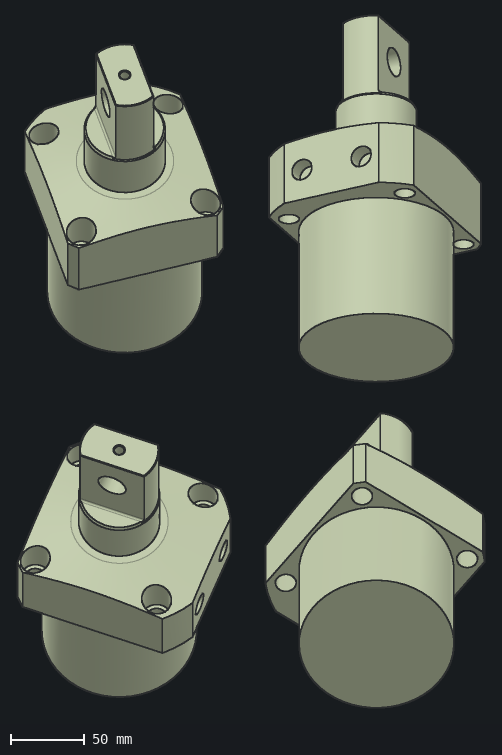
import cadquery as cq
import math

OVERALL_HEIGHT = 238.0

BARREL_DIAMETER = 105.0
BARREL_LENGTH = 87.5

FLANGE_HEIGHT = 56.5
FLANGE_LEFT = 67.0
FLANGE_RIGHT = 55.0
FLANGE_HALF_DEPTH = 55.0
CORNER_RADIUS = 76.0
CORNER_CHAMFER = 6.0

CROWN_DIAMETER = 66.0
CROWN_SLOPE = 15.0

BOLT_OFFSET = 44.0
BOLT_HOLE_DIAMETER = 14.0
BOLT_HEAD_DIAMETER = 20.0
BOLT_SEAT_HEIGHT = 25.0

PORT_DIAMETER = 15.0
PORT_OFFSET = 22.5
PORT_HEIGHT = 22.5
PORT_DEPTH = 12.0

ROD_DIAMETER = 55.0
ROD_CHAMFER_HEIGHT = 2.0
ROD_CHAMFER_ANGLE = 30.0
TONGUE_DIAMETER = 53.7
TONGUE_THICKNESS = 27.0
TONGUE_LENGTH = 58.0
TONGUE_TOP_CHAMFER = 0.5
TONGUE_ROOT_FILLET = 1.5
PIN_HOLE_DIAMETER = 20.0
PIN_HOLE_FROM_TIP = 25.5
TAPPED_HOLE_DIAMETER = 6.7
TAPPED_HOLE_MOUTH_DIAMETER = 8.0

ROD_TIP = OVERALL_HEIGHT - BARREL_LENGTH
SHOULDER = ROD_TIP - TONGUE_LENGTH


def flange_outline():
    """Flange block: rectangle with two round and two flat corners."""
    round_x = -math.sqrt(CORNER_RADIUS**2 - FLANGE_HALF_DEPTH**2)
    round_y = math.sqrt(CORNER_RADIUS**2 - FLANGE_LEFT**2)
    middle_angle = (math.atan2(FLANGE_HALF_DEPTH, round_x) + math.atan2(round_y, -FLANGE_LEFT)) / 2
    middle_x = CORNER_RADIUS * math.cos(middle_angle)
    middle_y = CORNER_RADIUS * math.sin(middle_angle)
    flat_x = FLANGE_RIGHT - CORNER_CHAMFER
    flat_y = FLANGE_HALF_DEPTH - CORNER_CHAMFER
    return (
        cq.Workplane("XY")
        .moveTo(round_x, -FLANGE_HALF_DEPTH)
        .lineTo(flat_x, -FLANGE_HALF_DEPTH)
        .lineTo(FLANGE_RIGHT, -flat_y)
        .lineTo(FLANGE_RIGHT, flat_y)
        .lineTo(flat_x, FLANGE_HALF_DEPTH)
        .lineTo(round_x, FLANGE_HALF_DEPTH)
        .threePointArc((middle_x, middle_y), (-FLANGE_LEFT, round_y))
        .lineTo(-FLANGE_LEFT, -round_y)
        .threePointArc((middle_x, -middle_y), (round_x, -FLANGE_HALF_DEPTH))
        .close()
    )


def crown():
    """Round envelope whose conical top shapes the top of the flange."""
    crown_radius = CROWN_DIAMETER / 2
    envelope_radius = CORNER_RADIUS + CORNER_CHAMFER
    drop = (envelope_radius - crown_radius) * math.tan(math.radians(CROWN_SLOPE))
    return (
        cq.Workplane("XZ")
        .lineTo(envelope_radius, 0)
        .lineTo(envelope_radius, FLANGE_HEIGHT - drop)
        .lineTo(crown_radius, FLANGE_HEIGHT)
        .lineTo(0, FLANGE_HEIGHT)
        .close()
        .revolve(360, (0, 0), (0, 1))
    )


def bolt_holes():
    """Four through holes, each with a counterbore from above."""
    centres = [(x, y) for x in (-BOLT_OFFSET, BOLT_OFFSET) for y in (-BOLT_OFFSET, BOLT_OFFSET)]
    shanks = (
        cq.Workplane("XY")
        .pushPoints(centres)
        .circle(BOLT_HOLE_DIAMETER / 2)
        .extrude(FLANGE_HEIGHT)
    )
    heads = (
        cq.Workplane("XY", origin=(0, 0, BOLT_SEAT_HEIGHT))
        .pushPoints(centres)
        .circle(BOLT_HEAD_DIAMETER / 2)
        .extrude(FLANGE_HEIGHT - BOLT_SEAT_HEIGHT)
    )
    return shanks.union(heads)


def oil_ports():
    """Two blind ports entering from the -X side."""
    return (
        cq.Workplane("YZ", origin=(-FLANGE_LEFT, 0, 0))
        .pushPoints([(-PORT_OFFSET, PORT_HEIGHT), (PORT_OFFSET, PORT_HEIGHT)])
        .circle(PORT_DIAMETER / 2)
        .extrude(PORT_DEPTH)
    )


def make_housing():
    flange = flange_outline().extrude(FLANGE_HEIGHT).intersect(crown())
    barrel = cq.Workplane("XY").circle(BARREL_DIAMETER / 2).extrude(-BARREL_LENGTH)
    return flange.union(barrel).cut(bolt_holes()).cut(oil_ports())


def tongue_blank():
    """Round tongue, chamfered at the tip, still without its flats."""
    return (
        cq.Workplane("XY", origin=(0, 0, FLANGE_HEIGHT))
        .circle(TONGUE_DIAMETER / 2)
        .extrude(ROD_TIP - FLANGE_HEIGHT)
        .faces(">Z")
        .chamfer(TONGUE_TOP_CHAMFER)
    )


def tongue_section():
    """Slab between the two flats: chamfered at the tip, with concave fillets at the root."""
    half = TONGUE_THICKNESS / 2
    tip_half = half - TONGUE_TOP_CHAMFER
    root_half = half + TONGUE_ROOT_FILLET
    fillet_top = SHOULDER + TONGUE_ROOT_FILLET
    chamfer_bottom = ROD_TIP - TONGUE_TOP_CHAMFER
    return (
        cq.Workplane("YZ")
        .moveTo(-root_half, FLANGE_HEIGHT)
        .lineTo(root_half, FLANGE_HEIGHT)
        .lineTo(root_half, SHOULDER)
        .radiusArc((half, fillet_top), TONGUE_ROOT_FILLET)
        .lineTo(half, chamfer_bottom)
        .lineTo(tip_half, ROD_TIP)
        .lineTo(-tip_half, ROD_TIP)
        .lineTo(-half, chamfer_bottom)
        .lineTo(-half, fillet_top)
        .radiusArc((-root_half, SHOULDER), TONGUE_ROOT_FILLET)
        .close()
        .extrude(TONGUE_DIAMETER / 2, both=True)
    )


def pin_hole():
    """Cross hole through the tongue along Y."""
    return (
        cq.Workplane("XZ", origin=(0, TONGUE_DIAMETER / 2, 0))
        .center(0, ROD_TIP - PIN_HOLE_FROM_TIP)
        .circle(PIN_HOLE_DIAMETER / 2)
        .extrude(TONGUE_DIAMETER)
    )


def tapped_hole():
    """Hole from the tip down to the pin hole, with a countersunk mouth."""
    radius = TAPPED_HOLE_DIAMETER / 2
    mouth_radius = TAPPED_HOLE_MOUTH_DIAMETER / 2
    return (
        cq.Workplane("XZ")
        .moveTo(0, ROD_TIP)
        .lineTo(mouth_radius, ROD_TIP)
        .lineTo(radius, ROD_TIP - (mouth_radius - radius))
        .lineTo(radius, ROD_TIP - PIN_HOLE_FROM_TIP)
        .lineTo(0, ROD_TIP - PIN_HOLE_FROM_TIP)
        .close()
        .revolve(360, (0, 0), (0, 1))
    )


def make_rod():
    """Rod standing on the crown, with a flat-sided tongue at its tip."""
    chamfer_width = ROD_CHAMFER_HEIGHT * math.tan(math.radians(ROD_CHAMFER_ANGLE))
    shank_radius = ROD_DIAMETER / 2
    shank = (
        cq.Workplane("XZ")
        .moveTo(0, FLANGE_HEIGHT)
        .lineTo(shank_radius, FLANGE_HEIGHT)
        .lineTo(shank_radius, SHOULDER - ROD_CHAMFER_HEIGHT)
        .lineTo(shank_radius - chamfer_width, SHOULDER)
        .lineTo(0, SHOULDER)
        .close()
        .revolve(360, (0, 0), (0, 1))
    )
    tongue = tongue_blank().intersect(tongue_section())
    return shank.union(tongue).cut(pin_hole()).cut(tapped_hole())


housing = make_housing()
rod = make_rod()

result = cq.Compound.makeCompound([housing.val(), rod.val()])